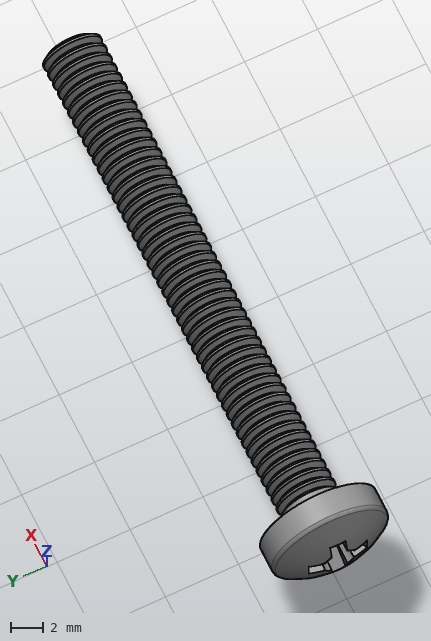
import cadquery as cq
import math


overall_length = 38.02
tip_x = overall_length

arm_width = 1.05
arm_reach = 2.0
core_mouth_radius = 1.15
core_floor_radius = 0.95
recess_depth = 2.4
floor_cone_depth = 0.3

head_radius = 4.0
head_height = 3.15
dome_radius = 6.45
rim_fillet = 0.35
neck_fillet = 0.15


def dome_drop(radius):
    """Distance of the dome surface behind its apex, at a radius from the axis."""
    return dome_radius - math.sqrt(dome_radius**2 - radius**2)


apex_x = -dome_drop(core_mouth_radius)
seat_x = apex_x + head_height
recess_floor_x = apex_x + recess_depth

thread_diameter = 4.0
thread_radius = thread_diameter / 2
thread_length = 33.6
thread_count = 48
thread_depth = 0.38
pitch = thread_length / thread_count
crest_width = pitch / 4
flank_length = (pitch - crest_width) / 2
root_radius = thread_radius - thread_depth
thread_start_x = tip_x - thread_length


def revolve_about_axis(outline):
    return outline.close().revolve(360, (0, 0, 0), (1, 0, 0))


def make_head():
    mid_radius = head_radius / 2
    rim_x = apex_x + dome_drop(head_radius)
    outline = (
        cq.Workplane("XY")
        .moveTo(apex_x, 0)
        .threePointArc((apex_x + dome_drop(mid_radius), mid_radius), (rim_x, head_radius))
        .lineTo(seat_x, head_radius)
        .lineTo(seat_x, 0)
    )
    rim = cq.selectors.NearestToPointSelector((rim_x, 0, 0))
    return revolve_about_axis(outline).edges("%CIRCLE").edges(rim).fillet(rim_fillet)


def make_threaded_shank():
    outline = (
        cq.Workplane("XY")
        .moveTo(seat_x, 0)
        .lineTo(seat_x, thread_radius + neck_fillet)
        .radiusArc((seat_x + neck_fillet, thread_radius), -neck_fillet)
        .lineTo(thread_start_x - flank_length, thread_radius)
        .lineTo(thread_start_x, root_radius)
    )
    for ring in range(thread_count):
        crest_x = thread_start_x + ring * pitch + flank_length
        crest_end_x = crest_x + crest_width
        outline = (
            outline.lineTo(crest_x, thread_radius)
            .lineTo(crest_end_x, thread_radius)
            .lineTo(crest_end_x + flank_length, root_radius)
        )
    return revolve_about_axis(outline.lineTo(tip_x, 0))


def make_slot():
    """Flat-sided slot whose two end faces slope in towards the recess floor."""
    end_height = recess_depth - dome_drop(arm_reach)
    end_slope = (arm_reach - core_floor_radius) / end_height
    mouth_reach = core_floor_radius + end_slope * recess_depth
    return (
        cq.Workplane("XY")
        .moveTo(apex_x, -mouth_reach)
        .lineTo(apex_x, mouth_reach)
        .lineTo(recess_floor_x, core_floor_radius)
        .lineTo(recess_floor_x, -core_floor_radius)
        .close()
        .extrude(arm_width / 2, both=True)
    )


def make_recess():
    slot = make_slot()
    crossing_slot = slot.rotate((0, 0, 0), (1, 0, 0), 90)
    core_outline = (
        cq.Workplane("XY")
        .moveTo(apex_x, 0)
        .lineTo(apex_x, core_mouth_radius)
        .lineTo(recess_floor_x, core_floor_radius)
        .lineTo(recess_floor_x + floor_cone_depth, 0)
    )
    return revolve_about_axis(core_outline).union(slot).union(crossing_slot)


result = make_head().union(make_threaded_shank()).cut(make_recess())